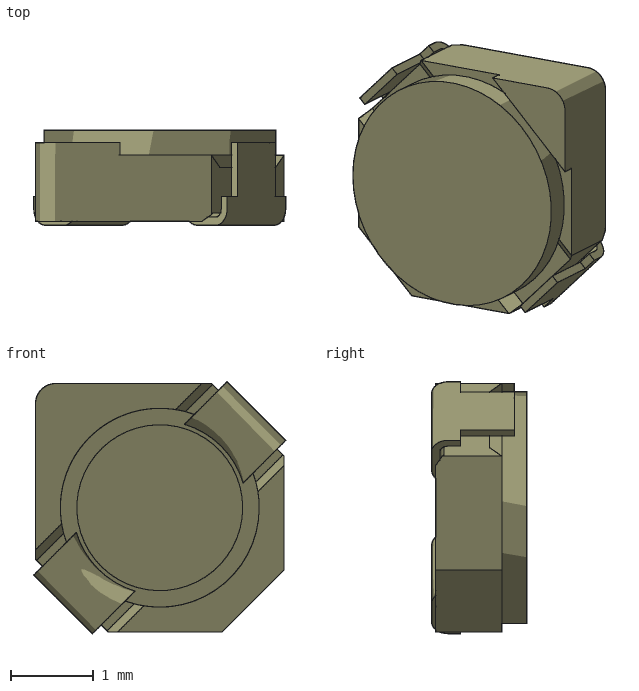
import cadquery as cq
import math


OVERALL = 3.04

SHIELD_SIDE = 3.0
SHIELD_DEPTH = 0.8
CORNER_STEP = 0.15
BORE_DIAMETER = 2.4
MARKER_CORNER_RADIUS = 0.25
PLAIN_CORNER_CHAMFER = 0.75

FLANGE_DIAMETER = 2.8
FLANGE_THICKNESS = 0.3
HUB_DIAMETER = 2.0

FRONT_CHANNEL_FLOOR_WIDTH = 1.2
FRONT_CHANNEL_DEPTH = 0.1
BACK_CHANNEL_FLOOR_WIDTH = 0.95
BACK_CHANNEL_DEPTH = 0.15

SHEET = 0.1
BEND_INNER_RADIUS = 0.1
FOOT_STAND_OFF = 0.05
TERMINAL_WIDTH = 1.0
TAB_WIDTH = 0.645
SHOULDER_Y = 0.3
CURL_LEG = 0.2
SHIELD_GAP = 0.05
HUB_GAP = 0.05

BACK_Y = SHIELD_DEPTH + CORNER_STEP
FOOT_FRONT_Y = -FOOT_STAND_OFF
FOOT_BACK_Y = FOOT_FRONT_Y + SHEET
BEND_OUTER_RADIUS = BEND_INNER_RADIUS + SHEET
BEND_END_Y = FOOT_FRONT_Y + BEND_OUTER_RADIUS
TERMINAL_REACH = OVERALL / math.sqrt(2) - TERMINAL_WIDTH / 2
TERMINAL_CORNER_DISTANCE = TERMINAL_REACH - SHEET - SHIELD_GAP
CURL_INNER_RADIUS = HUB_DIAMETER / 2 + HUB_GAP
CURL_END_Y = BEND_END_Y + CURL_LEG
CURL_OUTER_RADIUS = CURL_INNER_RADIUS + BEND_OUTER_RADIUS

TERMINAL_ANGLES = (-45, 135)
MARKER_CORNER_ANGLE = -135


def turned(shape, angle):
    """Turn a shape about the coil axis."""
    return shape.rotate((0, 0, 0), (0, 1, 0), angle)


def disc(diameter, y_start, y_end):
    """Cylinder on the coil axis between two y positions."""
    return cq.Workplane("XZ", origin=(0, y_start, 0)).circle(diameter / 2).extrude(y_start - y_end)


def block(x_range, y_range, width):
    """Box between two x and two y positions, centred on z = 0."""
    x_length = x_range[1] - x_range[0]
    y_length = y_range[1] - y_range[0]
    corner = (x_range[0], y_range[0], -width / 2)
    return cq.Workplane("XY", origin=corner).box(x_length, y_length, width, centered=False)


def channel(floor_width, floor_y, opening_y):
    """Trapezoidal cutter running out along +X, opening at 45 degrees from floor to mouth."""
    half_floor = floor_width / 2
    half_opening = half_floor + abs(opening_y - floor_y)
    outline = [
        (floor_y, -half_floor),
        (floor_y, half_floor),
        (opening_y, half_opening),
        (opening_y, -half_opening),
    ]
    return cq.Workplane("YZ").polyline(outline).close().extrude(OVERALL)


def make_shield():
    shield = cq.Workplane("XY").box(
        SHIELD_SIDE, BACK_Y, SHIELD_SIDE, centered=(True, False, True)
    )
    shield = shield.edges("|Y and <X and >Z").fillet(MARKER_CORNER_RADIUS)
    shield = shield.edges("|Y and >X and <Z").chamfer(PLAIN_CORNER_CHAMFER)

    ledge_cut = block((-OVERALL, FLANGE_DIAMETER / 2), (SHIELD_DEPTH, BACK_Y), 2 * OVERALL)
    shield = shield.cut(turned(ledge_cut, MARKER_CORNER_ANGLE))

    for angle in TERMINAL_ANGLES:
        corner_cut = block((TERMINAL_CORNER_DISTANCE, OVERALL), (0, BACK_Y), OVERALL)
        front_channel = channel(FRONT_CHANNEL_FLOOR_WIDTH, FRONT_CHANNEL_DEPTH, 0)
        back_channel = channel(
            BACK_CHANNEL_FLOOR_WIDTH, SHIELD_DEPTH - BACK_CHANNEL_DEPTH, SHIELD_DEPTH
        )
        for cutter in (corner_cut, front_channel, back_channel):
            shield = shield.cut(turned(cutter, angle))

    return shield.cut(disc(BORE_DIAMETER, 0, BACK_Y))


def make_core():
    hub = disc(HUB_DIAMETER, 0, SHIELD_DEPTH)
    flange = disc(FLANGE_DIAMETER, SHIELD_DEPTH, SHIELD_DEPTH + FLANGE_THICKNESS)
    return hub.union(flange)


def make_bent_strip():
    """Foot and upright as one bent sheet, the upright narrowing to a tab."""
    inner_reach = TERMINAL_REACH - SHEET
    strip = (
        cq.Workplane("XY", origin=(0, 0, -TERMINAL_WIDTH / 2))
        .moveTo(0, FOOT_FRONT_Y)
        .lineTo(TERMINAL_REACH - BEND_OUTER_RADIUS, FOOT_FRONT_Y)
        .radiusArc((TERMINAL_REACH, BEND_END_Y), -BEND_OUTER_RADIUS)
        .lineTo(TERMINAL_REACH, SHOULDER_Y)
        .lineTo(inner_reach, SHOULDER_Y)
        .lineTo(inner_reach, BEND_END_Y)
        .radiusArc((inner_reach - BEND_INNER_RADIUS, FOOT_BACK_Y), BEND_INNER_RADIUS)
        .lineTo(0, FOOT_BACK_Y)
        .close()
        .extrude(TERMINAL_WIDTH)
    )
    tab = block((inner_reach, TERMINAL_REACH), (SHOULDER_Y, BACK_Y), TAB_WIDTH)
    return strip.union(tab)


def make_curl():
    """Inner end of the foot, rolled back into the gap between hub and bore."""
    ring = (
        cq.Workplane("XY")
        .moveTo(CURL_OUTER_RADIUS, FOOT_FRONT_Y)
        .radiusArc((CURL_INNER_RADIUS, BEND_END_Y), BEND_OUTER_RADIUS)
        .lineTo(CURL_INNER_RADIUS, CURL_END_Y)
        .lineTo(CURL_INNER_RADIUS + SHEET, CURL_END_Y)
        .lineTo(CURL_INNER_RADIUS + SHEET, BEND_END_Y)
        .radiusArc((CURL_OUTER_RADIUS, FOOT_BACK_Y), -BEND_INNER_RADIUS)
        .close()
        .revolve(360, (0, 0, 0), (0, 1, 0))
    )
    return ring.intersect(block((0, OVERALL), (FOOT_FRONT_Y, CURL_END_Y), TERMINAL_WIDTH))


def make_terminal(angle):
    strip = make_bent_strip().cut(disc(2 * CURL_OUTER_RADIUS, FOOT_FRONT_Y, FOOT_BACK_Y))
    return turned(strip.union(make_curl()), angle)


shield = make_shield()
core = make_core()
terminals = [make_terminal(angle) for angle in TERMINAL_ANGLES]

bodies = [shield, core, *terminals]
result = cq.Compound.makeCompound([body.solids().val() for body in bodies])